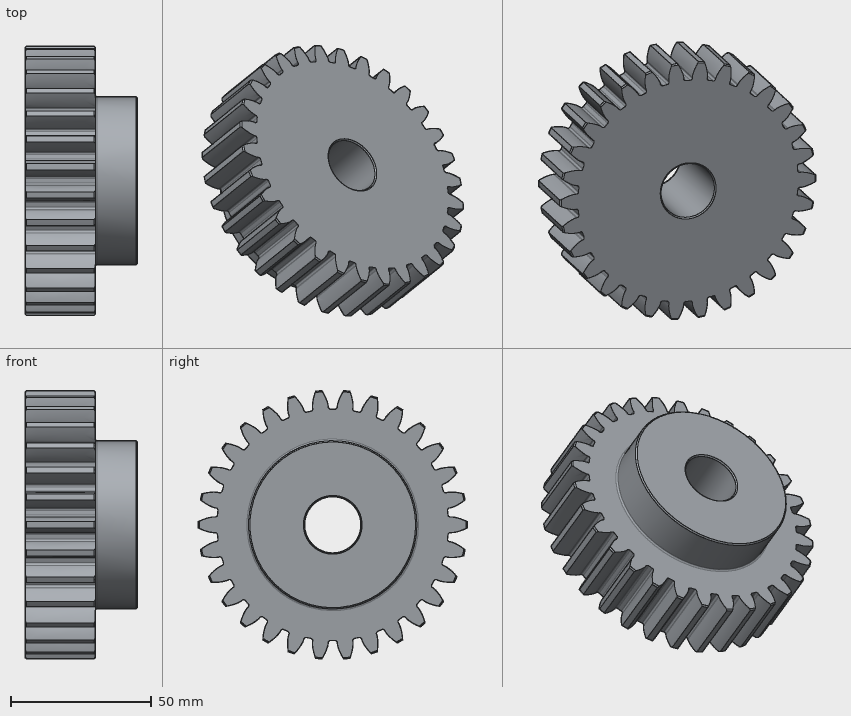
import cadquery as cq
import math


tooth_count = 30
tip_diameter = 96.0
pressure_angle = math.radians(20)
root_clearance = 0.25
root_fillet = 0.8
flank_point_count = 7
tip_allowance = 0.5

total_width = 40.0
gear_width = 25.1

hub_diameter = 60.0
hub_fillet = 0.6
bore_diameter = 20.0
edge_chamfer = 0.5

module = tip_diameter / (tooth_count + 2)
untrimmed_radius = tip_diameter / 2 + tip_allowance
pitch_radius = module * tooth_count / 2
base_radius = pitch_radius * math.cos(pressure_angle)
root_radius = pitch_radius - (1 + root_clearance) * module


def involute(angle):
    return math.tan(angle) - angle


def polar(radius, angle):
    return (radius * math.cos(angle), radius * math.sin(angle))


def half_tooth_angle(radius):
    """Angle from the tooth centre line to its involute flank at this radius."""
    at_pitch = math.pi / (2 * tooth_count)
    return at_pitch + involute(pressure_angle) - involute(math.acos(base_radius / radius))


def flank_points(center_angle, side):
    """Points from the base circle out to the untrimmed tip; side is -1 or +1."""
    step = (untrimmed_radius - base_radius) / (flank_point_count - 1)
    radii = [base_radius + i * step for i in range(flank_point_count)]
    return [polar(r, center_angle + side * half_tooth_angle(r)) for r in radii]


def root_corner(center_angle, side):
    """Start, middle and end of the root fillet, from the root circle to the radial flank."""
    fillet_center_radius = root_radius + root_fillet
    turn = math.asin(root_fillet / fillet_center_radius)
    center = center_angle + side * (half_tooth_angle(base_radius) + turn)
    cx, cy = polar(fillet_center_radius, center)
    toward_axis = center + math.pi
    sweep = math.pi / 2 - turn
    mx, my = polar(root_fillet, toward_axis + side * sweep / 2)
    flank_radius = fillet_center_radius * math.cos(turn)
    start = polar(root_radius, center)
    end = polar(flank_radius, center - side * turn)
    return start, (cx + mx, cy + my), end


def gear_outline():
    pitch_angle = 2 * math.pi / tooth_count
    outline = cq.Workplane("YZ").moveTo(*root_corner(0, -1)[0])
    for i in range(tooth_count):
        center = i * pitch_angle
        _, rise_middle, rise_end = root_corner(center, -1)
        fall_end, fall_middle, fall_start = root_corner(center, 1)
        rising = flank_points(center, -1)
        falling = flank_points(center, 1)[::-1]
        next_root = root_corner(center + pitch_angle, -1)[0]

        outline = outline.threePointArc(rise_middle, rise_end).lineTo(*rising[0])
        outline = outline.spline(rising[1:], includeCurrent=True)
        outline = outline.threePointArc(polar(untrimmed_radius, center), falling[0])
        outline = outline.spline(falling[1:], includeCurrent=True)
        outline = outline.lineTo(*fall_start).threePointArc(fall_middle, fall_end)
        outline = outline.threePointArc(polar(root_radius, center + pitch_angle / 2), next_root)
    return outline.close()


def turned(profile):
    """Solid made by turning a closed XY profile about the X axis."""
    return profile.close().revolve(360, (0, 0, 0), (1, 0, 0))


def gear_blank():
    """Disc at the tip diameter with both rims chamfered."""
    disc = cq.Workplane("YZ").circle(tip_diameter / 2).extrude(gear_width)
    return disc.edges().chamfer(edge_chamfer)


def hub():
    """Hub with a fillet where it meets the gear face and a chamfered outer end."""
    radius = hub_diameter / 2
    profile = (
        cq.Workplane("XY")
        .moveTo(gear_width, 0)
        .lineTo(gear_width, radius + hub_fillet)
        .radiusArc((gear_width + hub_fillet, radius), -hub_fillet)
        .lineTo(total_width - edge_chamfer, radius)
        .lineTo(total_width, radius - edge_chamfer)
        .lineTo(total_width, 0)
    )
    return turned(profile)


def bore():
    """Through bore, widened by a chamfer at both ends."""
    radius = bore_diameter / 2
    mouth_radius = radius + edge_chamfer
    profile = (
        cq.Workplane("XY")
        .lineTo(0, mouth_radius)
        .lineTo(edge_chamfer, radius)
        .lineTo(total_width - edge_chamfer, radius)
        .lineTo(total_width, mouth_radius)
        .lineTo(total_width, 0)
    )
    return turned(profile)


gear = gear_outline().extrude(gear_width).intersect(gear_blank())
result = gear.union(hub()).cut(bore())